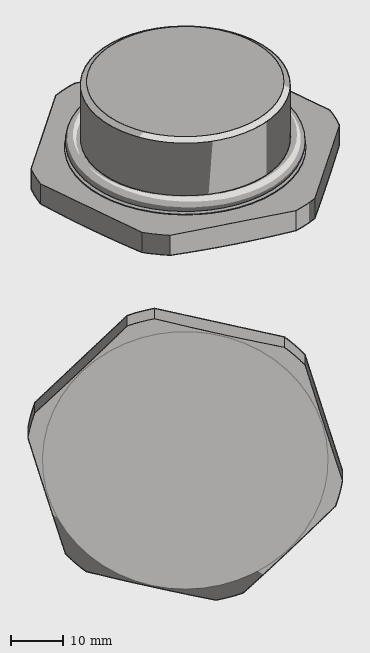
import cadquery as cq
import math

across_flats = 55.0
corner_diameter = 60.6
head_height = 5.0
bevel_diameter = 54.4
bevel_angle = 7.0

total_height = 20.0
plug_diameter = 40.0
lead_in_width = 1.2
lead_in_angle = 30.0

neck_diameter = 38.0
neck_height = 2.2
ring_section = 3.0
ring_outer_diameter = 45.7
seat_diameter = 46.0
seat_depth = 0.15

seat_level = head_height - seat_depth
neck_top = seat_level + neck_height


def make_head():
    """Hexagon with turned corners, a shallow bevel below and a round seat on top."""
    sharp_corner_radius = across_flats / 2 / math.cos(math.pi / 6)
    corner_angles = [math.radians(60 * i) for i in range(6)]
    corners = [
        (sharp_corner_radius * math.sin(angle), sharp_corner_radius * math.cos(angle))
        for angle in corner_angles
    ]
    hexagon = (
        cq.Workplane("XY")
        .polyline(corners)
        .close()
        .extrude(head_height)
    )
    corner_radius = corner_diameter / 2
    bevel_radius = bevel_diameter / 2
    bevel_height = (corner_radius - bevel_radius) * math.tan(math.radians(bevel_angle))
    turned_envelope = (
        cq.Workplane("XZ")
        .moveTo(0, 0)
        .lineTo(bevel_radius, 0)
        .lineTo(corner_radius, bevel_height)
        .lineTo(corner_radius, head_height)
        .lineTo(0, head_height)
        .close()
        .revolve(360, (0, 0, 0), (0, 1, 0))
    )
    seat = cq.Workplane("XY").workplane(offset=seat_level).circle(seat_diameter / 2).extrude(seat_depth)
    return hexagon.intersect(turned_envelope).cut(seat)


def make_shank():
    """Undercut neck and plug, with a conical lead-in at the top."""
    neck_radius = neck_diameter / 2
    plug_radius = plug_diameter / 2
    lead_in_height = lead_in_width * math.tan(math.radians(lead_in_angle))
    return (
        cq.Workplane("XZ")
        .moveTo(0, seat_level)
        .lineTo(neck_radius, seat_level)
        .lineTo(neck_radius, neck_top)
        .lineTo(plug_radius, neck_top)
        .lineTo(plug_radius, total_height - lead_in_height)
        .lineTo(plug_radius - lead_in_width, total_height)
        .lineTo(0, total_height)
        .close()
        .revolve(360, (0, 0, 0), (0, 1, 0))
    )


def make_screw_plug():
    return make_head().union(make_shank())


def make_sealing_ring():
    """Round-section ring resting on the seat and reaching into the neck undercut."""
    section_radius = ring_section / 2
    centre_radius = ring_outer_diameter / 2 - section_radius
    return cq.Workplane(cq.Solid.makeTorus(
        centre_radius, section_radius, cq.Vector(0, 0, seat_level + section_radius)
    ))


screw_plug = make_screw_plug()
sealing_ring = make_sealing_ring()

result = cq.Compound.makeCompound([screw_plug.val(), sealing_ring.val()])